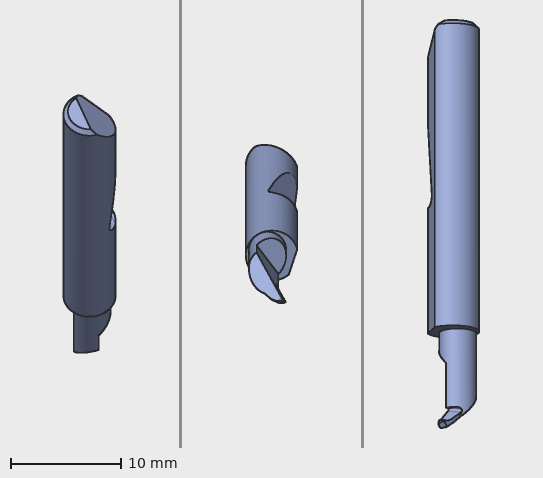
import cadquery as cq
import math

total_length = 37.95
shank_radius = 2.37
shank_bottom = 9.35
top_chamfer = 0.4
flat_distance = 2.0
flat_normal_angle = 143.5
top_bevel_drop = 2.95

notch_shoulder_z = 21.0
notch_top_z = 29.65
notch_depth = 1.4
notch_fillet = 0.9

neck_radius = 1.69
neck_x = shank_radius - neck_radius
step_edge_z = 7.9
neck_right_z = 3.95

blade_slope = 45.0
blade_under_v = (neck_right_z - shank_radius) / math.sqrt(2)
nose_radius = 0.35
blade_tip_u = nose_radius * (math.sqrt(2) - 2) - blade_under_v
blade_root_u = 1.02
blade_overlap = 0.1
blade_thickness = 0.665
blade_top_fall = 0.3
root_roof_z = 2.05
root_fillet = 0.23
root_depth = 1.385
heel_u = -0.38
heel_depth = 0.95
nose_u = -1.0
nose_depth = 0.55
lip_end_u = -0.75
lip_height = 0.08

cut_size = 3 * shank_radius


def extrude_along_x(points):
    """Extrude a (y, z) outline across the full width of the tool."""
    return cq.Workplane("YZ").polyline(points).close().extrude(cut_size, both=True)


def tilt(solid):
    """Turn a solid from the (u, y, v) blade frame into the part frame."""
    return solid.rotate((0, 0, 0), (0, 1, 0), -blade_slope)


def make_notch():
    outer_y = 2 * shank_radius
    floor_y = shank_radius - notch_depth
    floor_slope = notch_depth / (notch_top_z - notch_shoulder_z)
    outer_top_z = notch_shoulder_z + (outer_y - floor_y) / floor_slope
    notch = extrude_along_x([
        (outer_y, notch_shoulder_z),
        (floor_y, notch_shoulder_z),
        (outer_y, outer_top_z),
    ])
    return notch.edges("|X").edges("<Y").fillet(notch_fillet)


def make_shank():
    shank = (
        cq.Workplane("XY").workplane(offset=shank_bottom)
        .circle(shank_radius).extrude(total_length - shank_bottom)
        .faces(">Z").chamfer(top_chamfer)
    )
    side_flat = (
        cq.Workplane("XY")
        .box(cut_size, 2 * cut_size, total_length, centered=(False, True, False))
        .translate((flat_distance, 0, 0))
        .rotate((0, 0, 0), (0, 0, 1), flat_normal_angle)
    )
    bevel = extrude_along_x([
        (shank_radius - top_bevel_drop, total_length),
        (shank_radius + top_bevel_drop, total_length - 2 * top_bevel_drop),
        (shank_radius + top_bevel_drop, total_length),
    ])
    return shank.cut(side_flat).cut(bevel).cut(make_notch())


def make_root_clearance():
    """Space above the blade's sloping top face, rounded where it meets the root wall."""
    top_v = blade_under_v + blade_thickness
    clearance = (
        cq.Workplane("YZ").workplane(offset=blade_root_u - cut_size)
        .polyline([
            (cut_size, top_v + blade_top_fall * cut_size),
            (-cut_size, top_v - blade_top_fall * cut_size),
            (-cut_size, top_v + cut_size),
            (cut_size, top_v + cut_size),
        ])
        .close().extrude(cut_size)
    )
    root_edge = cq.selectors.NearestToPointSelector((blade_root_u, 0, top_v))
    return clearance.faces(">X").edges(root_edge).fillet(root_fillet)


def make_neck():
    neck = cq.Workplane("XY").center(neck_x, 0).circle(neck_radius).extrude(shank_bottom)
    half_relief = extrude_along_x([
        (0, 0),
        (0, step_edge_z - neck_radius),
        (2 * neck_radius, step_edge_z + neck_radius),
        (2 * neck_radius, 0),
    ])
    under_cut = tilt(
        cq.Workplane("XY").workplane(offset=blade_under_v)
        .rect(2 * cut_size, 2 * cut_size).extrude(-cut_size)
    )
    beside_blade = tilt(make_root_clearance())
    below_roof = (
        cq.Workplane("XY").workplane(offset=root_roof_z)
        .rect(2 * cut_size, 2 * cut_size).extrude(-cut_size)
    )
    return neck.cut(half_relief).cut(under_cut).cut(beside_blade.intersect(below_roof))


def blade_section(start_u, end_u, thickness):
    """Bar along the blade whose top face falls away from the cutting face at y = 0."""
    top_v = blade_under_v + thickness
    outline = [
        (0, blade_under_v),
        (0, top_v),
        (-root_depth, top_v - blade_top_fall * root_depth),
        (-root_depth, blade_under_v),
    ]
    return (
        cq.Workplane("YZ").workplane(offset=start_u)
        .polyline(outline).close().extrude(end_u - start_u)
    )


def make_blade():
    blade_end_u = blade_root_u + blade_overlap
    lip = blade_section(blade_tip_u, lip_end_u, blade_thickness + lip_height)
    bar = blade_section(blade_tip_u, blade_end_u, blade_thickness).union(lip)
    plan = (
        cq.Workplane("XY")
        .polyline([
            (blade_tip_u, 0),
            (nose_u, -nose_depth),
            (heel_u, -heel_depth),
            (blade_root_u, -root_depth),
            (blade_end_u, -root_depth),
            (blade_end_u, 0),
        ])
        .close().extrude(cut_size)
    )
    rounded_nose = (
        cq.Workplane("XY")
        .box(blade_end_u - blade_tip_u, 2 * cut_size, blade_thickness + lip_height,
             centered=(False, True, False))
        .translate((blade_tip_u, 0, blade_under_v))
        .edges("|Y and <X").fillet(nose_radius)
    )
    return tilt(bar.intersect(plan).intersect(rounded_nose))


result = make_shank().union(make_neck()).union(make_blade())